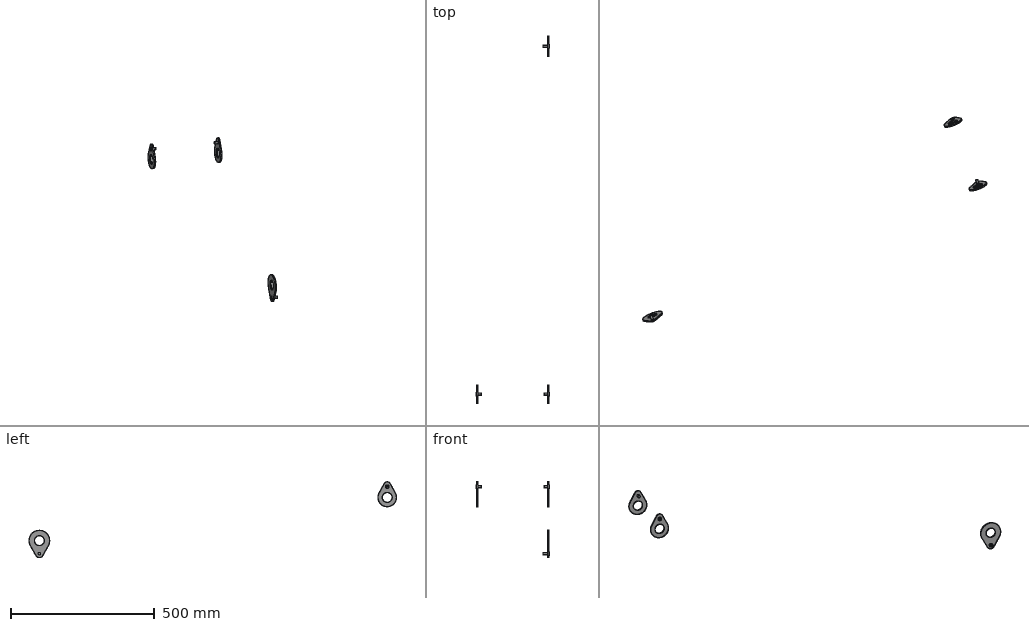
import cadquery as cq
import math

overall_width = 257.36
overall_depth = 1280.54
overall_height = 264.73

plate_thickness = 5.08
bore_diameter = 33.7
stud_diameter = 8.89
head_diameter = 12.7
head_height = 2.9
head_recess_diameter = 4.0
head_recess_depth = 1.0

small_rim_radius = 32.58
small_tip_radius = 11.95
small_tip_offset = 43.0
small_stud_offset = 37.8
small_stud_length = 11.1

large_rim_radius = 36.3
large_tip_radius = 13.95
large_tip_offset = 45.3
large_stud_offset = 45.1
large_stud_length = 15.8


def teardrop_plate(rim_radius, tip_radius, tip_offset):
    """Plate bounded by a rim arc, a tip arc and their two common tangents."""
    tangent_sine = (rim_radius - tip_radius) / tip_offset
    tangent_cosine = math.sqrt(1 - tangent_sine**2)
    rim_side = rim_radius * tangent_cosine
    rim_height = rim_radius * tangent_sine
    tip_side = tip_radius * tangent_cosine
    tip_height = tip_offset + tip_radius * tangent_sine
    return (
        cq.Workplane("YZ")
        .moveTo(rim_side, rim_height)
        .lineTo(tip_side, tip_height)
        .threePointArc((0, tip_offset + tip_radius), (-tip_side, tip_height))
        .lineTo(-rim_side, rim_height)
        .threePointArc((0, -rim_radius), (rim_side, rim_height))
        .close()
        .extrude(plate_thickness)
    )


def disc(diameter, start, length, height):
    """Cylinder along X that begins at x = start, with its axis at z = height."""
    return cq.Workplane("YZ", origin=(start, 0, height)).circle(diameter / 2).extrude(length)


def hanger(rim_radius, tip_radius, tip_offset, stud_offset, stud_length):
    """Hanger with its bore on the X axis, its tip towards +Z and its stud towards +X."""
    plate = teardrop_plate(rim_radius, tip_radius, tip_offset)
    bore = disc(bore_diameter, 0, plate_thickness, 0)
    stud = disc(stud_diameter, plate_thickness, stud_length, stud_offset)
    head = disc(head_diameter, -head_height, head_height, stud_offset)
    recess = disc(head_recess_diameter, -head_height, head_recess_depth, stud_offset)
    return plate.cut(bore).union(stud).union(head).cut(recess)


plate_face_x = overall_width / 2 - head_height

small_bore_y = -overall_depth / 2 + small_rim_radius
small_bore_z = overall_height / 2 - small_tip_offset - small_tip_radius
small_hangers = []
for side, turn in ((-1, 0), (1, 180)):
    small_hanger = hanger(
        small_rim_radius, small_tip_radius, small_tip_offset, small_stud_offset, small_stud_length
    )
    turned = small_hanger.rotate((0, 0, 0), (0, 0, 1), turn)
    small_hangers.append(turned.translate((side * plate_face_x, small_bore_y, small_bore_z)))

large_bore_y = overall_depth / 2 - large_rim_radius
large_bore_z = -overall_height / 2 + large_tip_offset + large_tip_radius
large_hanger = (
    hanger(large_rim_radius, large_tip_radius, large_tip_offset, large_stud_offset, large_stud_length)
    .rotate((0, 0, 0), (0, 1, 0), 180)
    .translate((plate_face_x, large_bore_y, large_bore_z))
)

result = cq.Compound.makeCompound(
    [*[small_hanger.val() for small_hanger in small_hangers], large_hanger.val()]
)